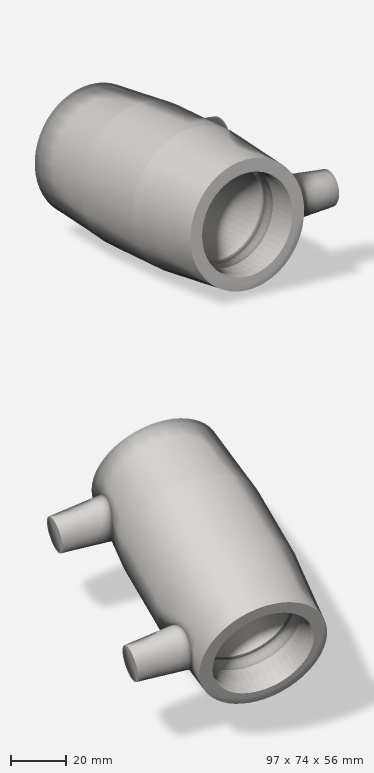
import cadquery as cq

sleeve_length = 97.0
middle_length = sleeve_length / 3
middle_radius = 56.0 / 2
end_radius = 50.3 / 2

socket_radius = 40.0 / 2
bore_radius = 38.0 / 2
groove_radius = 41.0 / 2
socket_depth = 12.2
groove_width = 5.8

overall_width = 74.0
terminal_tip_y = overall_width - middle_radius
terminal_tip_radius = 14.1 / 2
terminal_base_radius = 17.7 / 2
terminal_length = 22.3
terminal_end_distance = 14.55
terminal_offset = sleeve_length / 2 - terminal_end_distance


def make_sleeve_body():
    """Solid barrel: cylindrical middle with a conical taper towards each end."""
    half_length = sleeve_length / 2
    half_middle = middle_length / 2
    return (
        cq.Workplane("XY")
        .moveTo(-half_length, 0)
        .lineTo(-half_length, end_radius)
        .lineTo(-half_middle, middle_radius)
        .lineTo(half_middle, middle_radius)
        .lineTo(half_length, end_radius)
        .lineTo(half_length, 0)
        .close()
        .revolve(360, (0, 0, 0), (1, 0, 0))
    )


def make_terminal(x):
    """Tapered post pointing along +Y, with its base buried in the sleeve wall."""
    return cq.Workplane(
        cq.Solid.makeCone(
            terminal_base_radius,
            terminal_tip_radius,
            terminal_length,
            cq.Vector(x, terminal_tip_y - terminal_length, 0),
            cq.Vector(0, 1, 0),
        )
    )


def make_bore():
    """Through bore with a socket and an inner groove at both ends."""
    socket_bottom = sleeve_length / 2 - socket_depth
    shoulder = socket_bottom - groove_width
    bore = cq.Workplane("YZ").circle(bore_radius).extrude(sleeve_length / 2, both=True)
    for side in (-1, 1):
        groove = (
            cq.Workplane("YZ", origin=(side * shoulder, 0, 0))
            .circle(groove_radius)
            .extrude(side * groove_width)
        )
        socket = (
            cq.Workplane("YZ", origin=(side * socket_bottom, 0, 0))
            .circle(socket_radius)
            .extrude(side * socket_depth)
        )
        bore = bore.union(groove).union(socket)
    return bore


result = make_sleeve_body()
for terminal_x in (-terminal_offset, terminal_offset):
    result = result.union(make_terminal(terminal_x))
result = result.cut(make_bore())